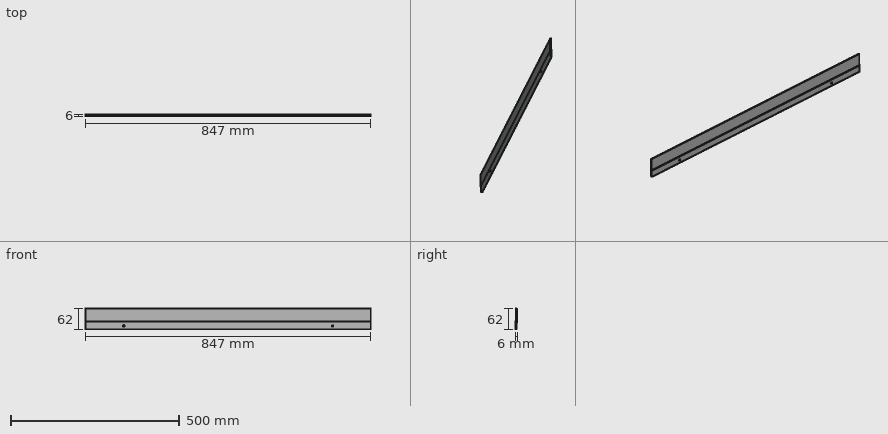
import cadquery as cq

length = 847.0
depth = 6.0
height = 62.0

thickness = 4.8
setback = depth - thickness

ledge_height = 23.4
bevel_rise = 1.4
bevel_run = 0.6

overhang_height = 20.5

flange_end_radius = 3.9
overhang_radius = 1.1

hole_diameter = 4.1
hole_spacing = 620.0
hole_height = 10.0


def stepped_plate():
    """Sharp-edged section in the YZ plane, extruded along X from the lower front corner."""
    section = [
        (0, 0),
        (thickness, 0),
        (thickness, overhang_height),
        (depth, overhang_height),
        (depth, height),
        (setback, height),
        (setback, ledge_height),
        (bevel_run, ledge_height),
        (0, ledge_height - bevel_rise),
    ]
    return cq.Workplane("YZ").polyline(section).close().extrude(length)


def round_long_edge(plate, y, z, radius):
    """Fillet the full-length edge that passes through (y, z)."""
    edge = cq.selectors.NearestToPointSelector((length / 2, y, z))
    return plate.edges(edge).fillet(radius)


def mounting_holes():
    """Two cylinders along Y, placed symmetrically about the middle of the length."""
    first_x = (length - hole_spacing) / 2
    centres = [(first_x, hole_height), (first_x + hole_spacing, hole_height)]
    return cq.Workplane("XZ").pushPoints(centres).circle(hole_diameter / 2).extrude(-depth)


plate = stepped_plate()
plate = round_long_edge(plate, depth, height, flange_end_radius)
plate = round_long_edge(plate, thickness, 0, flange_end_radius)
plate = round_long_edge(plate, depth, overhang_height, overhang_radius)
result = plate.cut(mounting_holes())